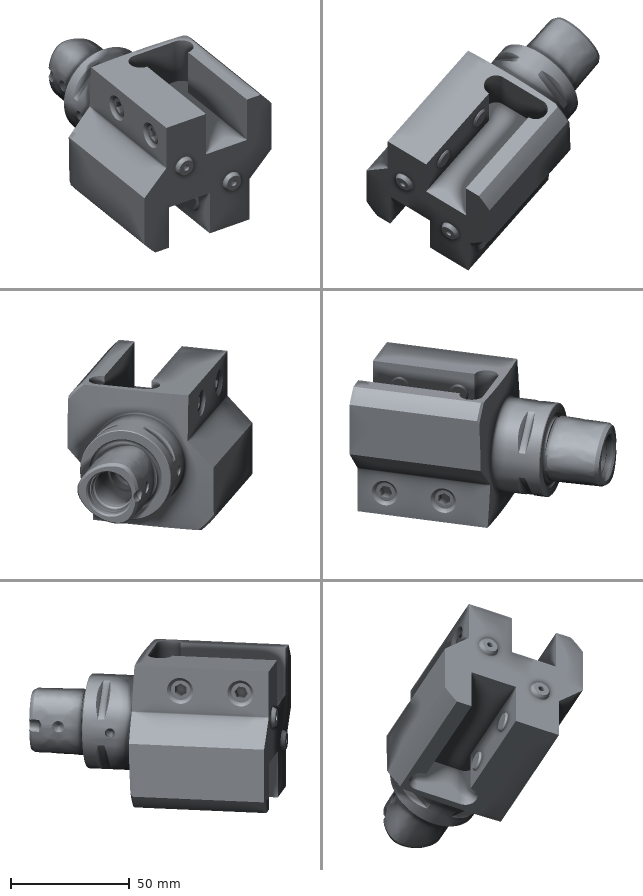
import cadquery as cq
import math

SHANK_CHAMFER_LENGTH = 1.6
NECK_START = 22.4
FLANGE_FACE = 24.0
FLANGE_END = 44.3
HEAD_END = 104.0
OVERALL_LENGTH = 105.8

LOBE_HEIGHT = 0.9
SHANK_LARGE_RADIUS = 14.0
SHANK_TAPER = 1 / 50
SHANK_CHAMFER_DEPTH = 1.0
NECK_END = 23.6
NECK_DEPTH = 0.3
NECK_RADIUS = 14.1
LOBE_POINTS = 60

FACE_GROOVE_WIDTH = 1.9
FLANGE_RADIUS = 20.0
FLANGE_CHAMFER = 0.3
FLANGE_FILLET = 1.0
GRIP_SLOT_X = 32.1
GRIP_SLOT_FLOOR_WIDTH = 2.8
GRIP_SLOT_FLOOR_RADIUS = 17.6
GRIP_SLOT_WALL_ANGLE = 30
GRIP_SLOT_ANGLES = (45, 135, 225, 315)

DRILL_POINT_ANGLE = 118
FLANGE_HOLE_X = 36.0
FLANGE_HOLE_DIAMETER = 4.2
FLANGE_HOLE_DEPTH = 2.1
SHANK_HOLE_X = 12.6
SHANK_HOLE_DIAMETER = 5.0
SHANK_HOLE_DEPTH = 1.1
KEY_HOLE_DIAMETER = 5.5
KEY_HOLE_DEPTH = 4.3
KEY_HOLE_Y = -13.4

BORE_ENTRY_RADIUS = 10.2
BORE_RADIUS = 9.5
BORE_STEP_RADIUS = 9.1
BORE_GROOVE_RADIUS = 9.5
BORE_MIDDLE_RADIUS = 8.4
BORE_INNER_RADIUS = 7.3
BORE_DRILL_RADIUS = 6.5
BORE_ENTRY_LENGTH = 0.8
BORE_STEP_START = 3.6
BORE_GROOVE_START = 4.7
BORE_GROOVE_END = 5.5
BORE_STEP_END = 6.5
BORE_MIDDLE_END = 26.5
BORE_INNER_END = 31.7
BORE_DRILL_END = 38.1

HEAD_WIDTH = 64.0
HEAD_HEIGHT = 60.0
HEAD_HALF_WIDTH = HEAD_WIDTH / 2
HEAD_HALF_HEIGHT = HEAD_HEIGHT / 2
SIDE_Y = 21.0
LEDGE_Z = 9.9
LEDGE_FILLET = 1.0
TURNED_RADIUS = 40.0
TURNED_CHAMFER = 1.0
FRONT_CONE_ANGLE = 5
HEAD_START = FLANGE_END + FLANGE_FILLET
HEAD_BASE_RADIUS = FLANGE_RADIUS + FLANGE_FILLET

SLOT_FLOOR_Z = 9.9
SLOT_NEAR_Y = -1.0
SLOT_FAR_Y = 19.7
RELIEF_RADIUS = 5.1
RELIEF_X = 54.1

SCREW_XS = (66.1, 91.9)
SCREW_Z = 20.0
SCREW_DIAMETER = 8.5
COUNTERSINK_DIAMETER = 11.2
SCREW_TIP_CHAMFER = 0.6
SCREW_PROTRUSION = 1.0
COUNTERSINK_DEPTH = (COUNTERSINK_DIAMETER - SCREW_DIAMETER) / 2
SCREW_HEAD_Y = COUNTERSINK_DEPTH - SIDE_Y
SOCKET_ACROSS_FLATS = 5.0
SOCKET_DEPTH = 4.0
SOCKET_TURNS = (30, 7)

NOZZLE_Y = 12.0
NOZZLE_Z = -7.9
BALL_RADIUS = 4.7
BALL_X = 102.7
NOZZLE_HOLE_DIAMETER = 2.6
CHANNEL_DIAMETER = 3.6
CHANNEL_START_Y = 2.6
CHANNEL_START_Z = -1.6

X_AXIS = ((0, 0, 0), (1, 0, 0))


def half_turn(shape):
    """Rotate a shape by half a turn about the X axis."""
    return shape.rotate(*X_AXIS, 180)


def revolve_about_x(points):
    """Revolve a closed outline of (x, radius) points about the X axis."""
    return cq.Workplane("XY").polyline(points).close().revolve(360, (0, 0, 0), (1, 0, 0))


def cylinder_about_x(x_start, x_end, radius):
    """Cylinder centred on the X axis."""
    return cq.Workplane("YZ", origin=(x_start, 0, 0)).circle(radius).extrude(x_end - x_start)


def drill_point_length(radius):
    return radius / math.tan(math.radians(DRILL_POINT_ANGLE / 2))


def drill(start, direction, diameter, depth):
    """Drilled hole with a conical point; depth is that of the cylindrical part."""
    radius = diameter / 2
    outline = [(0, 0), (radius, 0), (radius, depth), (0, depth + drill_point_length(radius))]
    side = cq.Vector(0, 0, 1)
    plane = cq.Plane(origin=start, xDir=side.toTuple(), normal=side.cross(cq.Vector(*direction)).toTuple())
    drawn = cq.Workplane(plane).polyline(outline).close()
    return drawn.revolve(360, (0, 0, 0), (0, 1, 0))


def lobed_wire(x, radius):
    """Constant-width lobed outline; its support function is radius + LOBE_HEIGHT * cos(3 * angle)."""
    points = []
    for i in range(LOBE_POINTS):
        angle = 2 * math.pi * i / LOBE_POINTS
        reach = radius + LOBE_HEIGHT * math.cos(3 * angle)
        slope = -3 * LOBE_HEIGHT * math.sin(3 * angle)
        y = reach * math.cos(angle) - slope * math.sin(angle)
        z = reach * math.sin(angle) + slope * math.cos(angle)
        points.append(cq.Vector(x, y, z))
    return cq.Wire.assembleEdges([cq.Edge.makeSpline(points, periodic=True)])


def lobed_section(x_start, radius_start, x_end, radius_end):
    """Solid with straight sides between two lobed outlines."""
    wires = [lobed_wire(x_start, radius_start), lobed_wire(x_end, radius_end)]
    return cq.Workplane(obj=cq.Solid.makeLoft(wires, True))


def make_shank():
    taper_length = NECK_START - SHANK_CHAMFER_LENGTH
    small_radius = SHANK_LARGE_RADIUS - SHANK_TAPER * taper_length
    end_radius = small_radius - SHANK_CHAMFER_DEPTH
    neck_radius = SHANK_LARGE_RADIUS - NECK_DEPTH
    chamfer = lobed_section(0, end_radius, SHANK_CHAMFER_LENGTH, small_radius)
    taper = lobed_section(SHANK_CHAMFER_LENGTH, small_radius, NECK_START, SHANK_LARGE_RADIUS)
    neck_lobes = lobed_section(NECK_START, neck_radius, NECK_END, neck_radius)
    neck_limit = cylinder_about_x(NECK_START, NECK_END, NECK_RADIUS)
    collar = cylinder_about_x(NECK_END, FLANGE_END, NECK_RADIUS)
    return chamfer.union(taper).union(neck_lobes.intersect(neck_limit)).union(collar)


def make_flange():
    diagonal = math.sqrt(0.5)
    groove_radius = FACE_GROOVE_WIDTH / 2
    groove_bottom = (FLANGE_FACE + groove_radius, NECK_RADIUS + groove_radius)
    base_middle = (
        FLANGE_END + FLANGE_FILLET * diagonal,
        HEAD_BASE_RADIUS - FLANGE_FILLET * diagonal,
    )
    outline = (
        cq.Workplane("XY")
        .moveTo(FLANGE_FACE, 0)
        .lineTo(FLANGE_FACE, NECK_RADIUS)
        .threePointArc(groove_bottom, (FLANGE_FACE, NECK_RADIUS + FACE_GROOVE_WIDTH))
        .lineTo(FLANGE_FACE, FLANGE_RADIUS - FLANGE_CHAMFER)
        .lineTo(FLANGE_FACE + FLANGE_CHAMFER, FLANGE_RADIUS)
        .lineTo(FLANGE_END, FLANGE_RADIUS)
        .threePointArc(base_middle, (HEAD_START, HEAD_BASE_RADIUS))
        .lineTo(HEAD_START, 0)
        .close()
    )
    return outline.revolve(360, (0, 0, 0), (1, 0, 0))


def make_turned_envelope():
    cone_radius = TURNED_RADIUS - TURNED_CHAMFER
    cone_end = HEAD_START + (cone_radius - HEAD_BASE_RADIUS) * math.tan(math.radians(FRONT_CONE_ANGLE))
    return revolve_about_x([
        (HEAD_START, 0),
        (HEAD_START, HEAD_BASE_RADIUS),
        (cone_end, cone_radius),
        (cone_end + TURNED_CHAMFER, TURNED_RADIUS),
        (HEAD_END, TURNED_RADIUS),
        (HEAD_END, 0),
    ])


def make_head():
    ledge_drop = HEAD_HALF_WIDTH - SIDE_Y
    half_outline = [
        (-HEAD_HALF_WIDTH, LEDGE_Z - ledge_drop),
        (-SIDE_Y, LEDGE_Z),
        (-SIDE_Y, HEAD_HALF_HEIGHT),
        (HEAD_HALF_WIDTH, HEAD_HALF_HEIGHT),
    ]
    other_half = [(-y, -z) for y, z in half_outline]
    prism = (
        cq.Workplane("YZ", origin=(FLANGE_END, 0, 0))
        .polyline(half_outline + other_half)
        .close()
        .extrude(HEAD_END - FLANGE_END)
    )
    middle_x = (FLANGE_END + HEAD_END) / 2
    for sign in (1, -1):
        inner_corner = (middle_x, -sign * SIDE_Y, sign * LEDGE_Z)
        prism = prism.edges(cq.selectors.NearestToPointSelector(inner_corner)).fillet(LEDGE_FILLET)
    return prism.intersect(make_turned_envelope())


def slot_cutter():
    """Slot open upwards and at the +X end, with round reliefs in both inner corners."""
    slot_width = SLOT_FAR_Y - SLOT_NEAR_Y
    slot_middle = (SLOT_FAR_Y + SLOT_NEAR_Y) / 2
    depth = HEAD_HALF_HEIGHT - SLOT_FLOOR_Z
    floor_middle = cq.Workplane("XY", origin=(RELIEF_X, slot_middle, SLOT_FLOOR_Z))
    relief = floor_middle.slot2D(slot_width + 2 * RELIEF_RADIUS, 2 * RELIEF_RADIUS, 90).extrude(depth)
    run_out = floor_middle.box(HEAD_END - RELIEF_X, slot_width, depth, centered=(False, True, False))
    return run_out.union(relief)


def grip_slot_cutter(angle):
    height = FLANGE_RADIUS - GRIP_SLOT_FLOOR_RADIUS
    half_floor = GRIP_SLOT_FLOOR_WIDTH / 2
    half_mouth = half_floor + height * math.tan(math.radians(GRIP_SLOT_WALL_ANGLE))
    section = [
        (GRIP_SLOT_X - half_floor, GRIP_SLOT_FLOOR_RADIUS),
        (GRIP_SLOT_X + half_floor, GRIP_SLOT_FLOOR_RADIUS),
        (GRIP_SLOT_X + half_mouth, FLANGE_RADIUS),
        (GRIP_SLOT_X - half_mouth, FLANGE_RADIUS),
    ]
    cutter = cq.Workplane("XZ").polyline(section).close().extrude(FLANGE_RADIUS, both=True)
    return cutter.rotate(*X_AXIS, angle)


def bore_cutter():
    return revolve_about_x([
        (0, 0),
        (0, BORE_ENTRY_RADIUS),
        (BORE_ENTRY_LENGTH, BORE_RADIUS),
        (BORE_STEP_START, BORE_RADIUS),
        (BORE_STEP_START, BORE_STEP_RADIUS),
        (BORE_GROOVE_START, BORE_STEP_RADIUS),
        (BORE_GROOVE_START, BORE_GROOVE_RADIUS),
        (BORE_GROOVE_END, BORE_GROOVE_RADIUS),
        (BORE_GROOVE_END, BORE_STEP_RADIUS),
        (BORE_STEP_END, BORE_STEP_RADIUS),
        (BORE_STEP_END + BORE_STEP_RADIUS - BORE_MIDDLE_RADIUS, BORE_MIDDLE_RADIUS),
        (BORE_MIDDLE_END, BORE_MIDDLE_RADIUS),
        (BORE_MIDDLE_END, BORE_INNER_RADIUS),
        (BORE_INNER_END, BORE_INNER_RADIUS),
        (BORE_INNER_END + BORE_INNER_RADIUS - BORE_DRILL_RADIUS, BORE_DRILL_RADIUS),
        (BORE_DRILL_END, BORE_DRILL_RADIUS),
        (BORE_DRILL_END + drill_point_length(BORE_DRILL_RADIUS), 0),
    ])


def channel_cutter():
    """Straight coolant channel from the bottom of the bore to the seat of a nozzle."""
    start = cq.Vector(BORE_DRILL_END, CHANNEL_START_Y, CHANNEL_START_Z)
    path = cq.Vector(BALL_X, NOZZLE_Y, NOZZLE_Z) - start
    return cq.Workplane(obj=cq.Solid.makeCylinder(CHANNEL_DIAMETER / 2, path.Length, start, path))


def make_ball():
    """Ball cut flat at its outer end; it also shapes its seat in the head."""
    ball = cq.Workplane("XY").sphere(BALL_RADIUS).translate((BALL_X, NOZZLE_Y, NOZZLE_Z))
    return ball.intersect(cylinder_about_x(0, OVERALL_LENGTH, TURNED_RADIUS))


def make_nozzle():
    """Ball with a flat outer end and a coolant hole along X."""
    hole = (
        cq.Workplane("YZ", origin=(BALL_X - BALL_RADIUS, NOZZLE_Y, NOZZLE_Z))
        .circle(NOZZLE_HOLE_DIAMETER / 2)
        .extrude(2 * BALL_RADIUS)
    )
    return make_ball().cut(hole)


def make_screw(x, socket_turn):
    """Socket set screw whose tip stands out of the near wall of the tool slot."""
    length = SLOT_NEAR_Y + SCREW_PROTRUSION - SCREW_HEAD_Y
    socket_corners = SOCKET_ACROSS_FLATS / math.cos(math.pi / 6)
    rod = cq.Workplane("XY").circle(SCREW_DIAMETER / 2).extrude(length)
    blank = rod.faces(">Z").chamfer(SCREW_TIP_CHAMFER)
    socket = cq.Workplane("XY").polygon(6, socket_corners).extrude(SOCKET_DEPTH)
    screw = blank.cut(socket.rotate((0, 0, 0), (0, 0, 1), socket_turn))
    return screw.rotate((0, 0, 0), (1, 0, 0), -90).translate((x, SCREW_HEAD_Y, SCREW_Z))


def screw_hole_cutter(x):
    """Countersunk hole from the side of the head into the tool slot."""
    outline = [
        (0, -SIDE_Y),
        (COUNTERSINK_DIAMETER / 2, -SIDE_Y),
        (SCREW_DIAMETER / 2, SCREW_HEAD_Y),
        (SCREW_DIAMETER / 2, SLOT_NEAR_Y),
        (0, SLOT_NEAR_Y),
    ]
    hole = cq.Workplane("XY").polyline(outline).close().revolve(360, (0, 0, 0), (0, 1, 0))
    return hole.translate((x, 0, SCREW_Z))


def side_hole_cutters():
    """Blind holes on the -Y side of the flange and shank, and the key hole in the shank end."""
    inward = (0, 1, 0)
    flat_y = LOBE_HEIGHT - SHANK_LARGE_RADIUS
    return [
        drill((FLANGE_HOLE_X, -FLANGE_RADIUS, 0), inward, FLANGE_HOLE_DIAMETER, FLANGE_HOLE_DEPTH),
        drill((SHANK_HOLE_X, flat_y, 0), inward, SHANK_HOLE_DIAMETER, SHANK_HOLE_DEPTH),
        drill((0, KEY_HOLE_Y, 0), (1, 0, 0), KEY_HOLE_DIAMETER, KEY_HOLE_DEPTH),
    ]


def make_housing():
    cutters = [grip_slot_cutter(angle) for angle in GRIP_SLOT_ANGLES]
    cutters += [bore_cutter(), *side_hole_cutters()]
    paired_cutters = [slot_cutter(), channel_cutter(), make_ball()]
    paired_cutters += [screw_hole_cutter(x) for x in SCREW_XS]
    for cutter in paired_cutters:
        cutters += [cutter, half_turn(cutter)]
    housing = make_shank().union(make_flange()).union(make_head())
    for cutter in cutters:
        housing = housing.cut(cutter)
    return housing


housing = make_housing()
screws = []
for screw_x, turn in zip(SCREW_XS, SOCKET_TURNS):
    screw = make_screw(screw_x, turn)
    screws += [screw.val(), half_turn(screw).val()]
nozzle = make_nozzle()
nozzles = [nozzle.val(), half_turn(nozzle).val()]

result = cq.Compound.makeCompound([housing.val(), *screws, *nozzles])